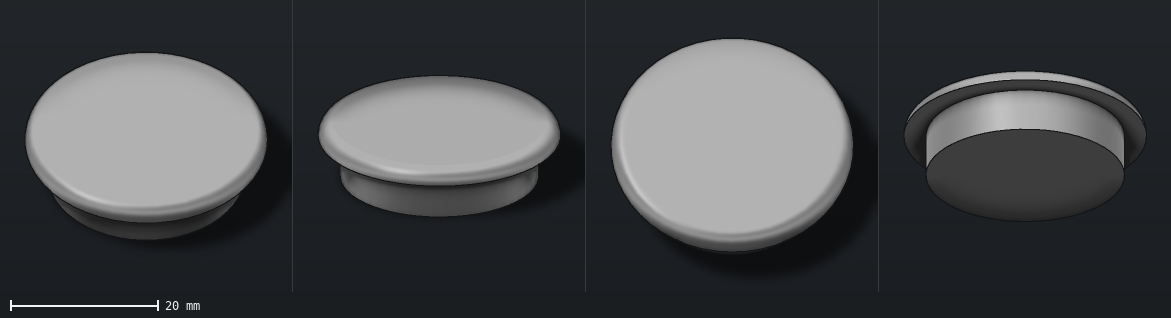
import cadquery as cq

flange_diameter = 33.0
flange_height = 2.18
rim_radius = 2.0
plug_diameter = 27.0
total_height = 8.2

plug_height = total_height - flange_height

plug = cq.Workplane("XY").circle(plug_diameter / 2).extrude(plug_height)

flange = (
    cq.Workplane("XY")
    .workplane(offset=plug_height)
    .circle(flange_diameter / 2)
    .extrude(flange_height)
    .faces(">Z")
    .edges()
    .fillet(rim_radius)
)

result = plug.union(flange)